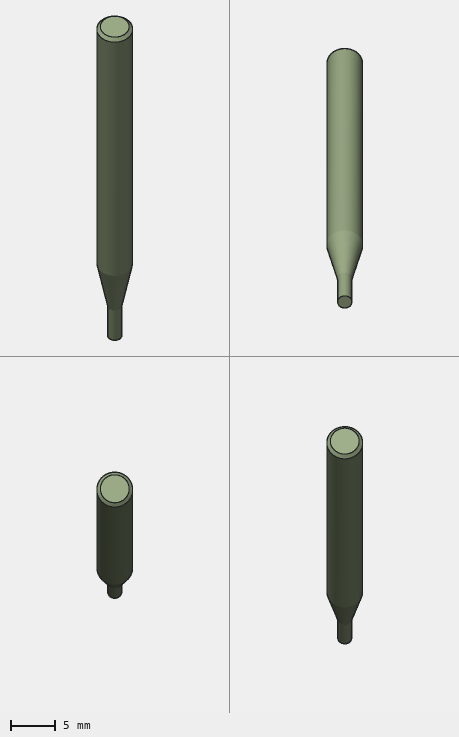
import cadquery as cq

total_length = 50.0
shank_diameter = 4.0
tip_diameter = 1.6
tip_length = 4.8
shank_start = 11.7
chamfer_width = 0.4
chamfer_height = 0.4

shank_radius = shank_diameter / 2
tip_radius = tip_diameter / 2

profile = (
    cq.Workplane("XZ")
    .moveTo(0, 0)
    .lineTo(tip_radius, 0)
    .lineTo(tip_radius, tip_length)
    .lineTo(shank_radius, shank_start)
    .lineTo(shank_radius, total_length - chamfer_height)
    .lineTo(shank_radius - chamfer_width, total_length)
    .lineTo(0, total_length)
    .close()
)

result = profile.revolve(360, (0, 0, 0), (0, 1, 0))